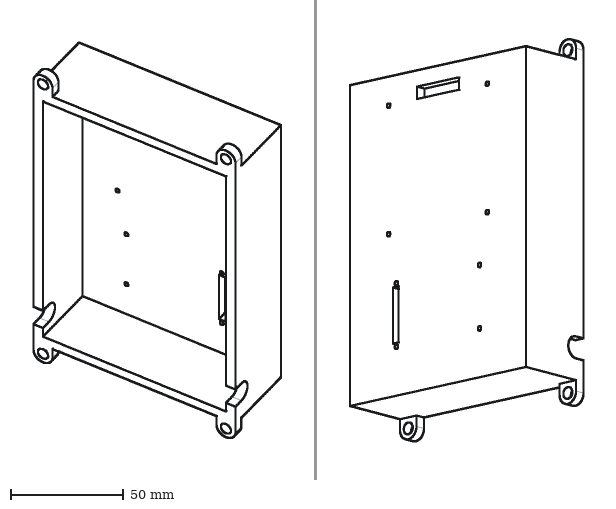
import cadquery as cq

width = 106.6
total_height = 167.6
depth = 38.0
wall = 5.0
floor = 5.0

ear_radius = 5.0
ear_thickness = 5.0
ear_hole_diameter = 5.4
ear_x = width / 2 - ear_radius
ear_z = total_height / 2 - ear_radius
box_height = total_height - 4 * ear_radius

notch_radius = 5.0
notch_depth = 10.0
notch_z = -58.7

screw_hole_diameter = 2.0
upper_screw_x = 29.8
upper_screw_heights = (60.4, 1.3)
lower_screw_x = 25.1
lower_screw_heights = (-22.1, -51.3)

window_width = 25.3
window_height = 5.7
window_z = 63.4
slot_width = 3.5
slot_height = 25.8
slot_x = 25.5
slot_z = -36.5


def block(x_size, z_size, x, z, y_start, y_end):
    """Block centred at (x, z) that spans y_start to y_end."""
    return (
        cq.Workplane("XY")
        .box(x_size, y_end - y_start, z_size, centered=(True, False, True))
        .translate((x, y_start, z))
    )


def cylinder(diameter, x, z, y_start, y_end):
    """Cylinder along Y at (x, z) that spans y_start to y_end."""
    return (
        cq.Workplane("XZ", origin=(x, y_start, z))
        .circle(diameter / 2)
        .extrude(y_start - y_end)
    )


def ear(x_side, z_side):
    """Round-ended tab beyond a corner of the box."""
    x = x_side * ear_x
    z = z_side * ear_z
    root = block(2 * ear_radius, 2 * ear_radius, x, z_side * (ear_z - ear_radius), 0, ear_thickness)
    return root.union(cylinder(2 * ear_radius, x, z, 0, ear_thickness))


def notch_cutter():
    """Round-bottomed slot that crosses both side walls."""
    straight_depth = notch_depth - notch_radius
    round_end = (
        cq.Workplane("YZ", origin=(-width / 2, straight_depth, notch_z))
        .circle(notch_radius)
        .extrude(width)
    )
    return block(width, 2 * notch_radius, 0, notch_z, 0, straight_depth).union(round_end)


result = block(width, box_height, 0, 0, 0, depth)
for x_side in (-1, 1):
    for z_side in (-1, 1):
        result = result.union(ear(x_side, z_side))
result = result.cut(block(width - 2 * wall, box_height - 2 * wall, 0, 0, 0, depth - floor))

for x_side in (-1, 1):
    for z_side in (-1, 1):
        result = result.cut(cylinder(ear_hole_diameter, x_side * ear_x, z_side * ear_z, 0, ear_thickness))

result = result.cut(notch_cutter())

for screw_x, heights in ((upper_screw_x, upper_screw_heights), (lower_screw_x, lower_screw_heights)):
    for x_side in (-1, 1):
        for screw_z in heights:
            result = result.cut(cylinder(screw_hole_diameter, x_side * screw_x, screw_z, 0, depth))

result = result.cut(block(window_width, window_height, 0, window_z, 0, depth))
result = result.cut(block(slot_width, slot_height, slot_x, slot_z, 0, depth))